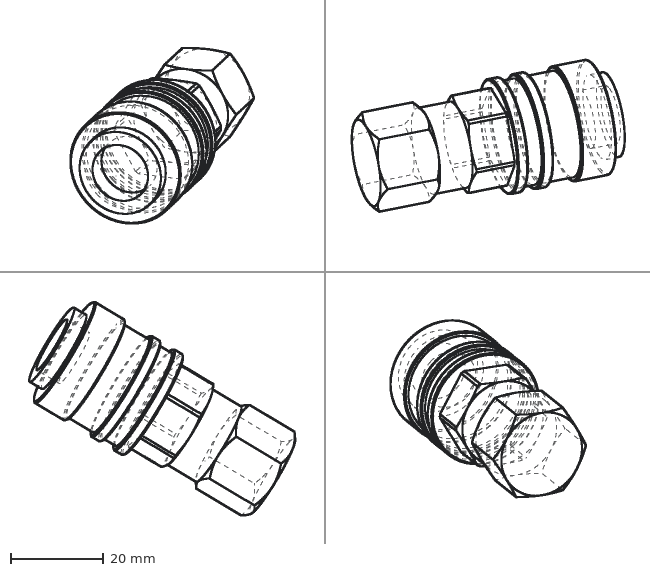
import cadquery as cq
import math

TOTAL_LENGTH = 56.0
LIP_END = 3.1
COLLAR_END = 11.0
FRONT_RING_START = 17.45
REAR_RING_START = 23.25
RING_WIDTH = 2.45
REAR_RING_END = REAR_RING_START + RING_WIDTH
BODY_HEX_END = 34.95
NUT_LENGTH = 13.65
NUT_START = TOTAL_LENGTH - NUT_LENGTH

COLLAR_DIAMETER = 25.4
SLEEVE_DIAMETER = 23.5
LIP_DIAMETER = 18.7
BORE_DIAMETER = 12.75
BORE_DEPTH = 5.7

ACROSS_FLATS = 19.05
NECK_DIAMETER = ACROSS_FLATS
ACROSS_CORNERS = ACROSS_FLATS / math.cos(math.pi / 6)
BODY_HEX_TURNED_DIAMETER = 21.5

RING_CHAMFER = 0.3
NUT_CHAMFER_LENGTH = 1.1
BODY_HEX_CHAMFER_LENGTH = 0.45


def cylinder(diameter, start, end):
    """Round bar along Y between two stations."""
    plane = cq.Workplane("XZ", origin=(0, start, 0))
    return plane.circle(diameter / 2).extrude(start - end)


def ring(start, end):
    """Raised band of the sleeve with both rims chamfered."""
    return cylinder(COLLAR_DIAMETER, start, end).edges("%CIRCLE").chamfer(RING_CHAMFER)


def hexagon(start, end):
    """Hexagonal bar along Y with two flats facing up and down."""
    plane = cq.Workplane("XZ", origin=(0, start, 0))
    return plane.polygon(6, ACROSS_CORNERS).extrude(start - end)


def turned_envelope(start, end, diameter, start_chamfer, end_chamfer):
    """Turned bar whose ends taper to the across-flats circle."""
    outer = diameter / 2
    inner = ACROSS_FLATS / 2
    profile = cq.Workplane("XY").moveTo(0, start)
    if start_chamfer > 0:
        profile = profile.lineTo(inner, start).lineTo(outer, start + start_chamfer)
    else:
        profile = profile.lineTo(outer, start)
    profile = profile.lineTo(outer, end - end_chamfer).lineTo(inner, end).lineTo(0, end)
    return profile.close().revolve(360, (0, 0, 0), (0, 1, 0))


sleeve = cylinder(SLEEVE_DIAMETER, LIP_END, REAR_RING_END - RING_CHAMFER)
sleeve = sleeve.union(cylinder(LIP_DIAMETER, 0, COLLAR_END))
sleeve = sleeve.union(ring(LIP_END, COLLAR_END))
for ring_start in (FRONT_RING_START, REAR_RING_START):
    sleeve = sleeve.union(ring(ring_start, ring_start + RING_WIDTH))

body_hex = hexagon(REAR_RING_START, BODY_HEX_END).intersect(
    turned_envelope(
        REAR_RING_START, BODY_HEX_END, BODY_HEX_TURNED_DIAMETER, 0, BODY_HEX_CHAMFER_LENGTH
    )
)

nut = hexagon(NUT_START, TOTAL_LENGTH).intersect(
    turned_envelope(
        NUT_START, TOTAL_LENGTH, ACROSS_CORNERS, NUT_CHAMFER_LENGTH, NUT_CHAMFER_LENGTH
    )
)

neck = cylinder(NECK_DIAMETER, BODY_HEX_END, NUT_START)
bore = cylinder(BORE_DIAMETER, 0, BORE_DEPTH)

result = sleeve.union(body_hex).union(neck).union(nut).cut(bore)